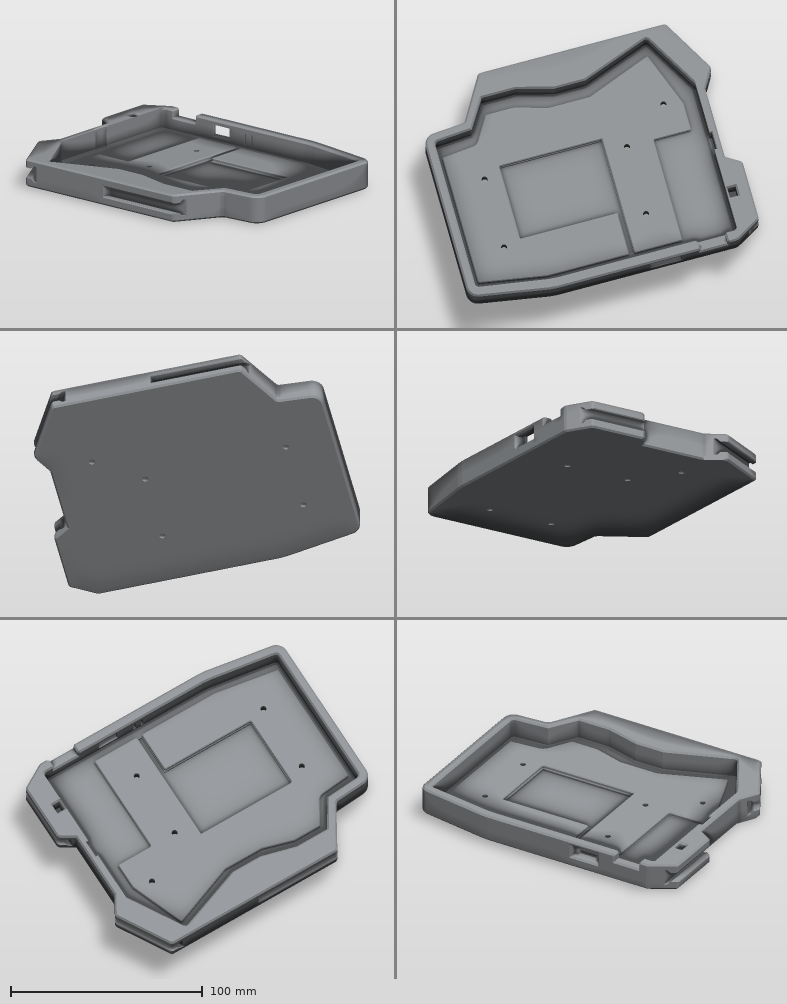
import cadquery as cq
import math

HEIGHT = 15.0
MID_HEIGHT = HEIGHT / 2
WIDTH = 157.2
DEPTH = 123.4
FLOOR = 3.0
PLATEAU = 5.0
BEVEL = 1.0
CORNER_BEVEL = 0.8
STEP_BEVEL = 0.5
FOOT_BEVEL_LEFT = 1.5
CORNER_RADIUS = 6.3
WALL_RADIUS = 2.0
SMALL_RADIUS = 1.0
BEND_BEVEL = 2.2
BEND_RADIUS = 4.7
HOLE_DIAMETER = 3.1
TALL = 2 * HEIGHT
TOLERANCE = 0.02
SHARP_REACH = 1.5

LEFT_TOP = (0, 115.2)
LEFT_BOTTOM = (0, 82.8)
NECK_FRONT = (8.2, 39.8)
DIAGONAL_TOP = (2.0, 29.2)
DIAGONAL_BOTTOM = (18.9, 0)
FRONT_RIGHT = (120.3, 0)
SHOULDER = (134.2, 23.9)
BACK_LEFT = (13.8, DEPTH)
RIGHT_BOTTOM = (WIDTH, 25.6)
RIGHT_TOP = (WIDTH, 116.2)
BACK_BEND = (113.3, DEPTH)
OUTLINE = [
    BACK_LEFT, LEFT_TOP, LEFT_BOTTOM, (8.2, 77.8), NECK_FRONT, DIAGONAL_TOP, DIAGONAL_BOTTOM,
    FRONT_RIGHT, SHOULDER, RIGHT_BOTTOM, RIGHT_TOP, BACK_BEND,
]
BEVELED_CORNERS = [
    BACK_LEFT, LEFT_TOP, LEFT_BOTTOM, DIAGONAL_TOP, DIAGONAL_BOTTOM, FRONT_RIGHT, SHOULDER,
]

WALL_LEFT = 12.4
WALL_BACK = 117.7
WALL_RIGHT = 152.2
CAVITY = [
    (WALL_LEFT, WALL_BACK), (112.4, WALL_BACK), (WALL_RIGHT, 111.6), (WALL_RIGHT, 30.2), (131.7, 28.6),
    (122.1, 13.4), (103.6, 13.4), (84.3, 18.5), (67.5, 18.5), (30.5, 4.9), (WALL_LEFT, 35.8),
]
CAVITY_BEND = CAVITY[1]
CAVITY_ROUNDED = [CAVITY[0], CAVITY[2], CAVITY[3], CAVITY[9]]

PLATEAU_BEND = (130.6, 34.7)
PLATEAU_OUTLINE = [
    (40.9, 113.2), (114.3, 113.2), (149.8, 107.2), (149.8, 36.6), PLATEAU_BEND, (122.0, 20.1), (106.4, 20.1),
    (89.3, 25.2), (66.8, 25.2), (31.9, 11.6), (20.6, 41.7), (20.6, 56.6), (40.9, 56.6),
]
PLATEAU_ROUNDED = [PLATEAU_OUTLINE[i] for i in (0, 2, 3, 9, 11, 12)]

RECESS_LEFT = 66.8
RECESS_RIGHT = 122.5
RECESS_FRONT = 49.0
RECESS_BACK = 89.8
CHANNEL_RIGHT = 69.8
CHANNEL_BACK = 113.2
RECESS_FLOOR = 2.0
WELL_BACK = 112.2
RECESS_OUTLINE = [
    (RECESS_LEFT, RECESS_FRONT), (RECESS_RIGHT, RECESS_FRONT), (RECESS_RIGHT, RECESS_BACK),
    (CHANNEL_RIGHT, RECESS_BACK), (CHANNEL_RIGHT, CHANNEL_BACK), (RECESS_LEFT, CHANNEL_BACK),
]
RECESS_ROUNDED = RECESS_OUTLINE[1:4]
CHANNEL_MOUTH = RECESS_OUTLINE[4:6]

HOLES = [(55.3, 94.3), (55.3, 56.6), (131.5, 92.1), (131.5, 53.9), (30.8, 39.3)]

SLOT_NECK = 2.8
SLOT_LIP = 0.5
SLOT_HEAD = 4.4
SLOT_NECK_DEPTH = 3.3
SLOT_DEPTH = 6.5
SLOT_OVERRUN = 15.7
FRONT_SLOT_START = 72.0

NOTCH_LEFT = 19.2
NOTCH_RIGHT = 34.0
NOTCH_FLOOR = 10.7
WINDOW_LEFT = 46.5
WINDOW_RIGHT = 58.0
WINDOW_BOTTOM = 5.8
WINDOW_TOP = 12.3
WINDOW_WALL = 1.5
WINDOW_MARGIN = 2.4
VENT_LEFTS = (67.9, 72.3)
VENT_WIDTH = 1.4
VENT_BOTTOM = 4.9
VENT_TOP = 11.5
VENT_DEPTH = 2.4

POCKET_LEFT = 7.0
POCKET_RIGHT = 11.5
POCKET_FRONT = 94.8
POCKET_BACK = 100.0
POCKET_FLOOR = 5.0
POCKET_LEDGE_LEFT = 10.5
POCKET_LEDGE = 6.0
NICHE_LEFT = 11.2
NICHE_FRONT = 63.3
NICHE_BACK = 72.6
NICHE_FLOOR = 4.1
NICHE_BEVEL = 0.5


def midpoint(start, end):
    return ((start[0] + end[0]) / 2, (start[1] + end[1]) / 2)


def distance_in_plan(edge, point):
    center = edge.Center()
    return math.dist((center.x, center.y), point)


def upright_edges(solid, points):
    """Vertical edges of a prism that stand on the given corner points."""
    def stands_on_corner(edge):
        return any(distance_in_plan(edge, point) < TOLERANCE for point in points)
    return solid.edges("|Z").filter(stands_on_corner)


def prism(points, bottom, top):
    return cq.Workplane("XY", origin=(0, 0, bottom)).polyline(points).close().extrude(top - bottom)


def block(x_range, y_range, z_range):
    (x0, x1), (y0, y1), (z0, z1) = x_range, y_range, z_range
    return cq.Workplane("XY", origin=(x0, y0, z0)).box(x1 - x0, y1 - y0, z1 - z0, centered=False)


def make_shell():
    """Outer body, beveled all round except for one sharp bottom edge beside the diagonal rail."""
    shell = prism(OUTLINE, 0, HEIGHT)
    shell = upright_edges(shell, BEVELED_CORNERS).chamfer(CORNER_BEVEL)
    shell = upright_edges(shell, [BACK_BEND]).chamfer(BEND_BEVEL)
    shell = upright_edges(shell, [RIGHT_BOTTOM, RIGHT_TOP]).fillet(CORNER_RADIUS)
    shell = shell.faces(">Z").edges().chamfer(BEVEL)
    sharp_center = midpoint(NECK_FRONT, DIAGONAL_TOP)
    bottom_edges = shell.faces("<Z").edges()
    return bottom_edges.filter(lambda edge: distance_in_plan(edge, sharp_center) > SHARP_REACH).chamfer(BEVEL)


def make_plateau():
    plateau = prism(PLATEAU_OUTLINE, FLOOR, PLATEAU)
    plateau = upright_edges(plateau, PLATEAU_ROUNDED).fillet(SMALL_RADIUS)
    plateau = upright_edges(plateau, [PLATEAU_BEND]).fillet(BEND_RADIUS)
    recess = prism(RECESS_OUTLINE, FLOOR, PLATEAU)
    recess = upright_edges(recess, RECESS_ROUNDED).fillet(SMALL_RADIUS)
    plateau = plateau.cut(recess)
    return upright_edges(plateau, CHANNEL_MOUTH).fillet(SMALL_RADIUS)


def make_room():
    """Wall prism of the cavity, sharp at the floor and at the rim."""
    room = prism(CAVITY, FLOOR, HEIGHT)
    room = upright_edges(room, CAVITY_ROUNDED).fillet(WALL_RADIUS)
    return upright_edges(room, [CAVITY_BEND]).chamfer(BEND_BEVEL)


def make_cavity():
    """Hollow of the shell, shaped to leave the plateau with beveled steps and a beveled wall foot."""
    room = make_room().faces("<Z").edges("not(<X)").chamfer(BEVEL)
    above_floor = block((-WIDTH, 2 * WIDTH), (-WIDTH, 2 * WIDTH), (FLOOR, TALL)).cut(make_plateau())
    step_edges = above_floor.edges("#Z").filter(lambda edge: edge.Center().z < PLATEAU + TOLERANCE)
    return room.intersect(step_edges.chamfer(STEP_BEVEL))


def make_recess_well():
    """Sunken floor of the recess and channel, starting at the foot of their beveled steps."""
    left = RECESS_LEFT + STEP_BEVEL
    front = RECESS_FRONT + STEP_BEVEL
    z_range = (RECESS_FLOOR, FLOOR)
    recess = block((left, RECESS_RIGHT - STEP_BEVEL), (front, RECESS_BACK - STEP_BEVEL), z_range)
    channel = block((left, CHANNEL_RIGHT - STEP_BEVEL), (front, WELL_BACK), z_range)
    return recess.union(channel)


def make_left_wall_foot():
    """Sloping foot along the left cavity wall."""
    (_, back), (_, front) = CAVITY[0], CAVITY[-1]
    profile = cq.Workplane("XZ", origin=(WALL_LEFT, back, FLOOR))
    wedge = profile.polyline([(0, 0), (FOOT_BEVEL_LEFT, 0), (0, FOOT_BEVEL_LEFT)]).close()
    return wedge.extrude(back - front)


def make_rim_bevel():
    """Flare at the cavity mouth; the left wall stays sharp."""
    mouth = make_room().faces(">Z").wires().val().moved(cq.Location((0, 0, -BEVEL)))
    flare = cq.Workplane("XY", origin=(0, 0, HEIGHT - BEVEL)).add(mouth).toPending()
    flare = flare.extrude(BEVEL, taper=-45)
    return flare.intersect(block((WALL_LEFT, WIDTH), (0, DEPTH), (0, TALL)))


def make_rail_slot(start, end, start_overrun, end_overrun):
    """T-shaped slot cut into the outer face that runs from start to end, body on the left hand."""
    length = math.dist(start, end)
    along = ((end[0] - start[0]) / length, (end[1] - start[1]) / length)
    inward = (-along[1], along[0])
    origin = (start[0] - along[0] * start_overrun, start[1] - along[1] * start_overrun, MID_HEIGHT)
    plane = cq.Plane(origin=origin, xDir=(*inward, 0), normal=(*along, 0))
    head_depth = SLOT_NECK_DEPTH + SLOT_HEAD - SLOT_NECK
    upper_half = [
        (-SLOT_LIP, SLOT_NECK + 2 * SLOT_LIP), (SLOT_LIP, SLOT_NECK), (SLOT_NECK_DEPTH, SLOT_NECK),
        (head_depth, SLOT_HEAD), (SLOT_DEPTH, SLOT_HEAD),
    ]
    lower_half = [(depth, -height) for depth, height in reversed(upper_half)]
    section = cq.Workplane(plane).polyline(upper_half + lower_half).close()
    return section.extrude(start_overrun + length + end_overrun)


def inner_flare(section):
    """Bevel around an opening of the given XZ section where it meets the inner face of the back wall."""
    flare = cq.Workplane("XZ", origin=(0, WALL_BACK + BEVEL, 0)).polyline(section).close()
    return flare.extrude(BEVEL, taper=-45)


def outer_flare(section):
    """The same bevel where the opening meets the outer face of the back wall."""
    return inner_flare(section).mirror("XZ", (0, (WALL_BACK + DEPTH) / 2, 0))


def make_notch():
    """Notch in the back wall, beveled along its top and along both wall faces."""
    top = HEIGHT - BEVEL
    section = [
        (NOTCH_LEFT, NOTCH_FLOOR), (NOTCH_RIGHT, NOTCH_FLOOR), (NOTCH_RIGHT, top),
        (NOTCH_RIGHT + BEVEL, HEIGHT), (NOTCH_LEFT - BEVEL, HEIGHT), (NOTCH_LEFT, top),
    ]
    notch = cq.Workplane("XZ", origin=(0, DEPTH, 0)).polyline(section).close().extrude(DEPTH - WALL_BACK)
    return notch.union(inner_flare(section)).union(outer_flare(section))


def make_window():
    """Opening through the back wall with a wider relief on its outer side."""
    z_range = (WINDOW_BOTTOM, WINDOW_TOP)
    window = block((WINDOW_LEFT, WINDOW_RIGHT), (WALL_BACK, DEPTH), z_range)
    relief_left = WINDOW_LEFT - WINDOW_MARGIN
    relief_right = WINDOW_RIGHT + WINDOW_MARGIN
    relief = block((relief_left, relief_right), (WALL_BACK + WINDOW_WALL, DEPTH), z_range)
    relief_section = [
        (relief_left, WINDOW_BOTTOM), (relief_right, WINDOW_BOTTOM),
        (relief_right, WINDOW_TOP), (relief_left, WINDOW_TOP),
    ]
    return window.union(relief).union(outer_flare(relief_section))


def make_vent(left):
    back = WALL_BACK + VENT_DEPTH
    return block((left, left + VENT_WIDTH), (WALL_BACK, back), (VENT_BOTTOM, VENT_TOP))


def beveled_mouth(x_range, y_range, bevel):
    """Flare at rim height around a rectangular opening."""
    (x0, x1), (y0, y1) = x_range, y_range
    mouth = cq.Workplane("XY", origin=((x0 + x1) / 2, (y0 + y1) / 2, HEIGHT - bevel))
    return mouth.rect(x1 - x0, y1 - y0).extrude(bevel, taper=-45)


def make_pocket():
    """Pocket in the left rim with a beveled mouth and a floor that slopes up to a level strip."""
    section = [
        (POCKET_LEFT, HEIGHT), (POCKET_LEFT, POCKET_FLOOR), (POCKET_LEDGE_LEFT, POCKET_LEDGE),
        (POCKET_RIGHT, POCKET_LEDGE), (POCKET_RIGHT, HEIGHT),
    ]
    pocket = cq.Workplane("XZ", origin=(0, POCKET_BACK, 0)).polyline(section).close()
    pocket = pocket.extrude(POCKET_BACK - POCKET_FRONT)
    return pocket.union(beveled_mouth((POCKET_LEFT, POCKET_RIGHT), (POCKET_FRONT, POCKET_BACK), BEVEL))


def make_niche():
    """Niche in the left cavity wall, open at the rim with a beveled mouth."""
    x_range = (NICHE_LEFT, WALL_LEFT + FOOT_BEVEL_LEFT)
    y_range = (NICHE_FRONT, NICHE_BACK)
    niche = block(x_range, y_range, (NICHE_FLOOR, HEIGHT))
    return niche.union(beveled_mouth(x_range, y_range, NICHE_BEVEL))


def make_holes():
    return cq.Workplane("XY").pushPoints(HOLES).circle(HOLE_DIAMETER / 2).extrude(HEIGHT)


result = make_shell().cut(make_cavity()).union(make_left_wall_foot()).cut(make_rim_bevel())
result = result.cut(make_recess_well())
result = result.cut(make_rail_slot(LEFT_TOP, LEFT_BOTTOM, SLOT_OVERRUN, SLOT_OVERRUN))
result = result.cut(make_rail_slot(DIAGONAL_TOP, DIAGONAL_BOTTOM, SLOT_OVERRUN, SLOT_OVERRUN))
result = result.cut(make_rail_slot((FRONT_SLOT_START, 0), FRONT_RIGHT, 0, SLOT_OVERRUN))
result = result.cut(make_notch()).cut(make_window())
for vent_left in VENT_LEFTS:
    result = result.cut(make_vent(vent_left))
result = result.cut(make_pocket()).cut(make_niche()).cut(make_holes())